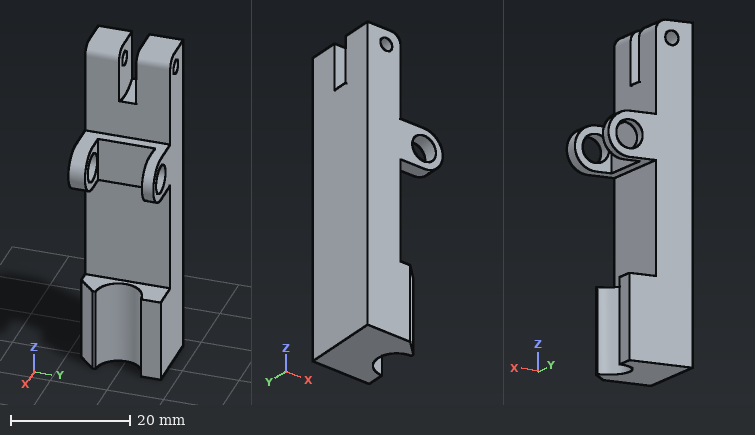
import cadquery as cq

height = 59.4
width = 15.0
bar_depth = 7.0
top_round = 2.0

pivot_diameter = 2.5
pivot_x = 4.0
pivot_z = height - 3.0
slot_width = 3.0
slot_floor_radius = 7.3

lug_radius = 4.0
lug_hole_diameter = 5.0
lug_x = 12.0
lug_z = 38.95
web_thickness = 2.0
web_front = bar_depth + web_thickness
front_lug_thickness = 2.95
rear_lug_thickness = 2.0

foot_height = 15.0
foot_depth = lug_x
channel_radius = 4.0
foot_chamfer = foot_depth - web_front


def y_cylinder(x, z, radius):
    """Cylinder along Y that spans the full width of the part."""
    return cq.Workplane("XZ", origin=(x, 0, z)).circle(radius).extrude(width / 2, both=True)


def make_bar():
    bar = cq.Workplane("XY").box(bar_depth, width, height, centered=(False, True, False))
    return bar.edges(">X and >Z").fillet(top_round)


def make_lugs():
    block = (
        cq.Workplane("XY", origin=(0, 0, lug_z - lug_radius))
        .box(lug_x, width, 2 * lug_radius, centered=(False, True, False))
    )
    lugs = block.union(y_cylinder(lug_x, lug_z, lug_radius))
    gap_width = width - front_lug_thickness - rear_lug_thickness
    gap = (
        cq.Workplane("XY", origin=(web_front, front_lug_thickness - width / 2, lug_z - lug_radius))
        .box(lug_radius + lug_x - web_front, gap_width, 2 * lug_radius, centered=False)
    )
    return lugs.cut(gap).cut(y_cylinder(lug_x, lug_z, lug_hole_diameter / 2))


def make_foot():
    foot = cq.Workplane("XY").box(foot_depth, width, foot_height, centered=(False, True, False))
    foot = foot.edges("|Z and >X and <Y").chamfer(foot_chamfer)
    channel = cq.Workplane("XY").center(foot_depth, 0).circle(channel_radius).extrude(foot_height)
    return foot.cut(channel)


def make_slot():
    """Slot open at the top, with its floor rounded about the pivot axis."""
    upper = (
        cq.Workplane("XY", origin=(0, 0, pivot_z))
        .box(bar_depth, slot_width, height - pivot_z, centered=(False, True, False))
    )
    lower = (
        cq.Workplane("XZ", origin=(pivot_x, 0, pivot_z))
        .circle(slot_floor_radius)
        .extrude(slot_width / 2, both=True)
    )
    return upper.union(lower)


result = (
    make_bar()
    .cut(make_slot())
    .cut(y_cylinder(pivot_x, pivot_z, pivot_diameter / 2))
    .union(make_lugs())
    .union(make_foot())
)